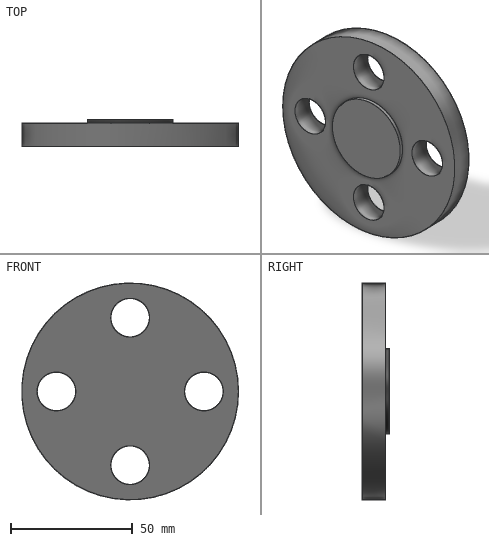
import cadquery as cq

flange_diameter = 88.9
overall_thickness = 11.2
raised_face_diameter = 35.0
raised_face_height = 1.6
flange_thickness = overall_thickness - raised_face_height

bolt_hole_count = 4
bolt_hole_diameter = 15.7
bolt_circle_radius = 30.2


def disc(diameter, start_y, thickness):
    """Solid disc centred on the Y axis, growing toward +Y from start_y."""
    return cq.Workplane("XZ", origin=(0, start_y, 0)).circle(diameter / 2).extrude(-thickness)


flange = disc(flange_diameter, 0, flange_thickness)

raised_face = disc(raised_face_diameter, flange_thickness, raised_face_height)

bolt_holes = (
    cq.Workplane("XZ")
    .polarArray(bolt_circle_radius, 0, 360, bolt_hole_count)
    .circle(bolt_hole_diameter / 2)
    .extrude(-flange_thickness)
)

result = flange.union(raised_face).cut(bolt_holes)